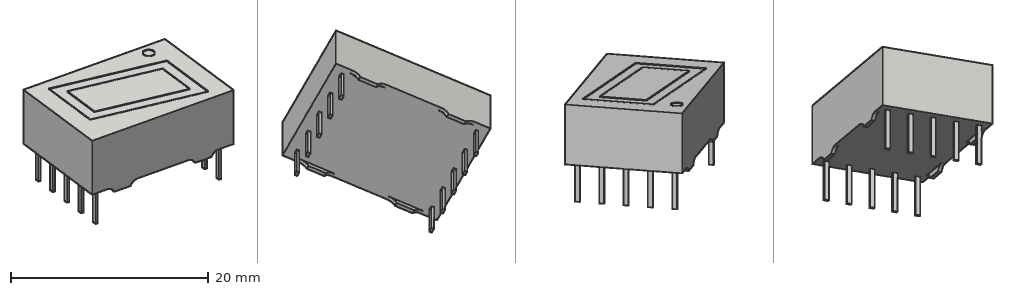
import cadquery as cq
import math

BODY_X = 12.25
BODY_Y = 17.5
TOTAL_HEIGHT = 10.6
PIN_LENGTH = 4.2
BODY_HEIGHT = TOTAL_HEIGHT - PIN_LENGTH

PINS_PER_ROW = 5
PIN_PITCH = 2.54
ROW_COUNT = 2
ROW_SPACING = 15.24
PIN_WIDTH = 0.5
PIN_THICKNESS = 0.3

FOOT_HEIGHT = 0.6
FOOT_THICKNESS = 0.4
FOOT_TIP_WIDTH = 2.0
FOOT_FLARE_RADIUS = 1.0
FOOT_SPACING = 10.0

SLANT_ANGLE = 10.0
FRAME_WIDTH = 7.4
FRAME_HEIGHT = 13.0
GROOVE_WIDTH = 1.25
ISLAND_WIDTH = FRAME_WIDTH - 2 * GROOVE_WIDTH / math.cos(math.radians(SLANT_ANGLE))
ISLAND_HEIGHT = FRAME_HEIGHT - 2 * GROOVE_WIDTH
RECESS_DEPTH = 0.1

DOT_DIAMETER = 1.25
DOT_X = -4.85
DOT_Y = (FRAME_HEIGHT - DOT_DIAMETER) / 2


def make_housing():
    return cq.Workplane("XY").box(BODY_X, BODY_Y, BODY_HEIGHT, centered=(True, True, False))


def make_pins():
    pin_centres = cq.Workplane("XY").rarray(PIN_PITCH, ROW_SPACING, PINS_PER_ROW, ROW_COUNT)
    return pin_centres.rect(PIN_WIDTH, PIN_THICKNESS).extrude(-PIN_LENGTH)


def make_foot(min_x, centre_y):
    """Foot whose concave flanks run tangent into the housing underside."""
    radius = FOOT_FLARE_RADIUS
    tip_half = FOOT_TIP_WIDTH / 2
    flare_angle = math.acos(1 - FOOT_HEIGHT / radius)
    root_half = tip_half + radius * math.sin(flare_angle)
    flank_mid_half = root_half - radius * math.sin(flare_angle / 2)
    flank_mid_z = -radius * (1 - math.cos(flare_angle / 2))
    return (
        cq.Workplane("YZ", origin=(min_x, centre_y, 0))
        .moveTo(-root_half, 0)
        .threePointArc((-flank_mid_half, flank_mid_z), (-tip_half, -FOOT_HEIGHT))
        .lineTo(tip_half, -FOOT_HEIGHT)
        .threePointArc((flank_mid_half, flank_mid_z), (root_half, 0))
        .close()
        .extrude(FOOT_THICKNESS)
    )


def make_slanted_block(width, height):
    """Parallelogram, leaning toward +X, filling the recess layer of the top face."""
    lean = height / 2 * math.tan(math.radians(SLANT_ANGLE))
    half_width = width / 2
    half_height = height / 2
    corners = [
        (-half_width - lean, -half_height),
        (half_width - lean, -half_height),
        (half_width + lean, half_height),
        (-half_width + lean, half_height),
    ]
    return cq.Workplane("XY", origin=(0, 0, BODY_HEIGHT)).polyline(corners).close().extrude(-RECESS_DEPTH)


def make_frame_groove():
    outer = make_slanted_block(FRAME_WIDTH, FRAME_HEIGHT)
    return outer.cut(make_slanted_block(ISLAND_WIDTH, ISLAND_HEIGHT))


def make_dot_recess():
    return (
        cq.Workplane("XY", origin=(DOT_X, DOT_Y, BODY_HEIGHT))
        .circle(DOT_DIAMETER / 2)
        .extrude(-RECESS_DEPTH)
    )


result = make_housing().union(make_pins())
for foot_x in (-BODY_X / 2, BODY_X / 2 - FOOT_THICKNESS):
    for foot_y in (-FOOT_SPACING / 2, FOOT_SPACING / 2):
        result = result.union(make_foot(foot_x, foot_y))
result = result.cut(make_frame_groove()).cut(make_dot_recess())